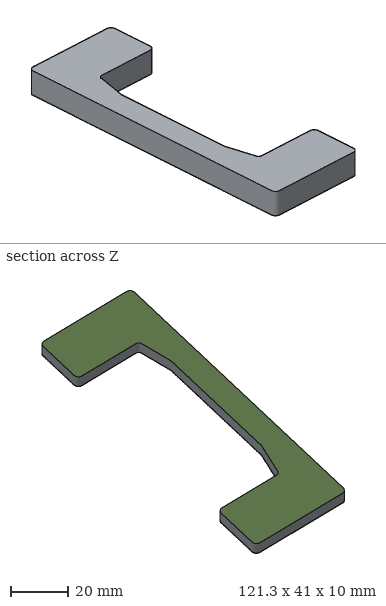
import cadquery as cq

length = 121.3
depth = 41.0
thickness = 10.0

leg_width = 21.3
bar_depth = 10.2

gusset_run = 14.0
gusset_rise = 3.3

outer_radius = 2.0
inner_radius = 1.5

half_length = length / 2
front_y = -depth / 2
back_y = depth / 2
bar_back_y = front_y + bar_depth
leg_inner_x = half_length - leg_width
gusset_end_x = leg_inner_x - gusset_run
gusset_top_y = bar_back_y + gusset_rise


def handle_blank():
    """U-shaped plate with sharp corners, centred on the origin."""
    right_half = [
        (half_length, front_y),
        (half_length, back_y),
        (leg_inner_x, back_y),
        (leg_inner_x, gusset_top_y),
        (gusset_end_x, bar_back_y),
    ]
    left_half = [(-x, y) for x, y in reversed(right_half)]
    return (
        cq.Workplane("XY")
        .polyline(right_half + left_half)
        .close()
        .extrude(thickness / 2, both=True)
    )


def round_vertical_edges(body, corners, radius):
    """Fillet the vertical edges at the given (x, y) corners and their mirror images in X."""
    edges = cq.Workplane("XY")
    for x, y in corners:
        for side in (-1, 1):
            edge = body.edges(cq.selectors.NearestToPointSelector((side * x, y, 0)))
            edges = edges.add(edge)
    return body.newObject(edges.vals()).fillet(radius)


outer_corners = [
    (half_length, front_y),
    (half_length, back_y),
    (leg_inner_x, back_y),
]
inner_corners = [(leg_inner_x, gusset_top_y)]

result = handle_blank()
result = round_vertical_edges(result, outer_corners, outer_radius)
result = round_vertical_edges(result, inner_corners, inner_radius)